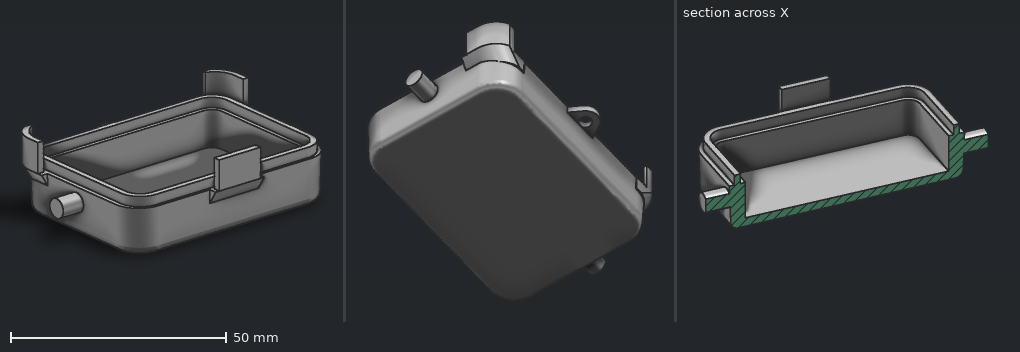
import cadquery as cq
import math


BODY_DEPTH = 11.9
BODY_RIGHT = 21.15
BODY_LEFT = 21.47
BODY_HALF_WIDTH = 30.03
BODY_CORNER_RADIUS = 7.0
DRAFT_ANGLE = 2.0
BOTTOM_FILLET = 2.0

LIP_HEIGHT = 2.6
LIP_HALF_LENGTH = 20.4
LIP_HALF_WIDTH = 28.73
LIP_CORNER_RADIUS = 5.9
LIP_WALL = 1.65
LEDGE_WIDTH = 1.2
LEDGE_Z = 0.0
CAVITY_CORNER_RADIUS = 3.0
FLOOR_THICKNESS = 2.4

POST_HEIGHT = 7.8
POST_LEFT = 21.7
POST_RIGHT = -11.9
POST_HALF_WIDTH = 31.77
POST_THICKNESS = 1.75
POST_ARC_X = -15.13
POST_ARC_RADIUS = 7.6
POST_INNER_END_Y = 25.9
SUPPORT_RIGHT = -10.55
SUPPORT_INNER_Y = 22.0
SUPPORT_DEPTH = 3.9
SUPPORT_BASE_ARC_RADIUS = 6.5
SUPPORT_ANGLE = 31.5

PLATE_RIGHT = 23.24
PLATE_THICKNESS = 1.8
PLATE_WIDTH = 12.45
PLATE_SUPPORT_WIDTH = 14.6

PIN_DIAMETER = 4.92
PIN_Z = -3.9
PIN_TIP_Y = 36.0

TAB_HOLE_X = -22.98
TAB_HOLE_DIAMETER = 3.2
TAB_RADIUS = 3.5
TAB_THICKNESS = 2.0
TAB_FLARE_ANGLE = 30.0
TAB_ROOT_X = -20.9


def rounded_rectangle(x_min, x_max, half_width, radius, z):
    """Sketch of a rounded rectangle, symmetric about Y = 0, at height z."""
    outline = cq.Sketch().rect(x_max - x_min, 2 * half_width).vertices().fillet(radius)
    return outline.moved(cq.Location(cq.Vector((x_min + x_max) / 2, 0, z)))


def rounded_block(half_length, half_width, radius, z_min, z_max):
    """Upright block with rounded vertical edges, centred on the Z axis."""
    block = cq.Workplane("XY").workplane(offset=z_min)
    block = block.rect(2 * half_length, 2 * half_width).extrude(z_max - z_min)
    return block.edges("|Z").fillet(radius)


def make_body():
    """Tray body: drafted on three sides, rounded at the underside."""
    shrink = BODY_DEPTH * math.tan(math.radians(DRAFT_ANGLE))
    shoulder = rounded_rectangle(-BODY_LEFT, BODY_RIGHT, BODY_HALF_WIDTH, BODY_CORNER_RADIUS, 0)
    underside = rounded_rectangle(
        -BODY_LEFT + shrink, BODY_RIGHT, BODY_HALF_WIDTH - shrink, BODY_CORNER_RADIUS, -BODY_DEPTH
    )
    body = cq.Workplane("XY").placeSketch(underside, shoulder).loft(ruled=True)
    return body.faces("<Z").edges().fillet(BOTTOM_FILLET)


def make_lip():
    return rounded_block(LIP_HALF_LENGTH, LIP_HALF_WIDTH, LIP_CORNER_RADIUS, 0, LIP_HEIGHT)


def make_cavity():
    """Stepped pocket: a wide mouth down to the ledge, then the main cavity."""
    mouth_length = LIP_HALF_LENGTH - LIP_WALL
    mouth_width = LIP_HALF_WIDTH - LIP_WALL
    mouth_radius = LIP_CORNER_RADIUS - LIP_WALL
    mouth = rounded_block(mouth_length, mouth_width, mouth_radius, LEDGE_Z, LIP_HEIGHT)
    well = rounded_block(
        mouth_length - LEDGE_WIDTH,
        mouth_width - LEDGE_WIDTH,
        CAVITY_CORNER_RADIUS,
        FLOOR_THICKNESS - BODY_DEPTH,
        LIP_HEIGHT,
    )
    return mouth.union(well)


def point_on_arc(radius, top_y, x):
    """Point at x on the corner arc that leaves the line y = top_y at POST_ARC_X."""
    drop = radius - math.sqrt(radius**2 - (x - POST_ARC_X) ** 2)
    return (x, top_y - drop)


def support_outline(plane, left_x, top_y, radius):
    """Plan outline of the corner support on the given workplane."""
    arc_end = point_on_arc(radius, top_y, left_x)
    arc_middle = point_on_arc(radius, top_y, (POST_ARC_X + left_x) / 2)
    return (
        plane.moveTo(SUPPORT_RIGHT, SUPPORT_INNER_Y)
        .lineTo(SUPPORT_RIGHT, top_y)
        .lineTo(POST_ARC_X, top_y)
        .threePointArc(arc_middle, arc_end)
        .lineTo(left_x, SUPPORT_INNER_Y)
        .close()
    )


def make_corner_support():
    """Sloping bracket under the +Y post; it runs into the body wall."""
    inset = SUPPORT_DEPTH * math.tan(math.radians(SUPPORT_ANGLE))
    draft = SUPPORT_DEPTH * math.tan(math.radians(DRAFT_ANGLE))
    top = support_outline(cq.Workplane("XY"), -POST_LEFT, POST_HALF_WIDTH, POST_ARC_RADIUS)
    return support_outline(
        top.workplane(offset=-SUPPORT_DEPTH),
        -POST_LEFT + draft,
        POST_HALF_WIDTH - inset,
        SUPPORT_BASE_ARC_RADIUS,
    ).loft(ruled=True)


def make_post():
    """Curved +Y post standing on the corner support."""
    inner_y = POST_HALF_WIDTH - POST_THICKNESS
    inner_radius = POST_ARC_RADIUS - POST_THICKNESS
    arc_centre_y = POST_HALF_WIDTH - POST_ARC_RADIUS
    rise = POST_INNER_END_Y - arc_centre_y
    inner_end_x = POST_ARC_X - math.sqrt(inner_radius**2 - rise**2)
    return (
        cq.Workplane("XY")
        .moveTo(POST_RIGHT, POST_HALF_WIDTH)
        .lineTo(POST_ARC_X, POST_HALF_WIDTH)
        .threePointArc(
            point_on_arc(POST_ARC_RADIUS, POST_HALF_WIDTH, (POST_ARC_X - POST_LEFT) / 2),
            point_on_arc(POST_ARC_RADIUS, POST_HALF_WIDTH, -POST_LEFT),
        )
        .lineTo(-POST_LEFT, POST_INNER_END_Y)
        .lineTo(inner_end_x, POST_INNER_END_Y)
        .threePointArc(
            point_on_arc(inner_radius, inner_y, (POST_ARC_X + inner_end_x) / 2),
            (POST_ARC_X, inner_y),
        )
        .lineTo(POST_RIGHT, inner_y)
        .close()
        .extrude(POST_HEIGHT)
    )


def make_plate():
    """Upright plate on the +X side with its triangular support."""
    plate = cq.Workplane("XY").rect(PLATE_THICKNESS, PLATE_WIDTH).extrude(POST_HEIGHT)
    plate = plate.translate((PLATE_RIGHT - PLATE_THICKNESS / 2, 0, 0))
    root_x = LIP_HALF_LENGTH
    support_drop = (PLATE_RIGHT - root_x) / math.tan(math.radians(SUPPORT_ANGLE))
    support = (
        cq.Workplane("XZ")
        .moveTo(root_x, 0)
        .lineTo(PLATE_RIGHT, 0)
        .lineTo(root_x, -support_drop)
        .close()
        .extrude(PLATE_SUPPORT_WIDTH / 2, both=True)
    )
    return plate.union(support)


def make_pins():
    """Both pins as one rod; the cavity cut later parts them."""
    rod = cq.Workplane("XZ").center(0, PIN_Z).circle(PIN_DIAMETER / 2)
    return rod.extrude(PIN_TIP_Y, both=True)


def make_tab():
    """Round-nosed tab whose sides leave the nose tangentially."""
    flare = math.radians(TAB_FLARE_ANGLE)
    tangent_x = TAB_HOLE_X - TAB_RADIUS * math.sin(flare)
    tangent_y = TAB_RADIUS * math.cos(flare)
    root_y = tangent_y + (TAB_ROOT_X - tangent_x) * math.tan(flare)
    return (
        cq.Workplane("XY")
        .moveTo(TAB_ROOT_X, root_y)
        .lineTo(tangent_x, tangent_y)
        .threePointArc((TAB_HOLE_X - TAB_RADIUS, 0), (tangent_x, -tangent_y))
        .lineTo(TAB_ROOT_X, -root_y)
        .close()
        .extrude(-TAB_THICKNESS)
    )


def make_tab_hole():
    hole = cq.Workplane("XY").center(TAB_HOLE_X, 0).circle(TAB_HOLE_DIAMETER / 2)
    return hole.extrude(-TAB_THICKNESS)


result = make_body().union(make_lip()).union(make_plate()).union(make_pins()).union(make_tab())
corner = make_corner_support().union(make_post())
for corner_piece in (corner, corner.mirror("XZ")):
    result = result.union(corner_piece)
result = result.cut(make_cavity()).cut(make_tab_hole())